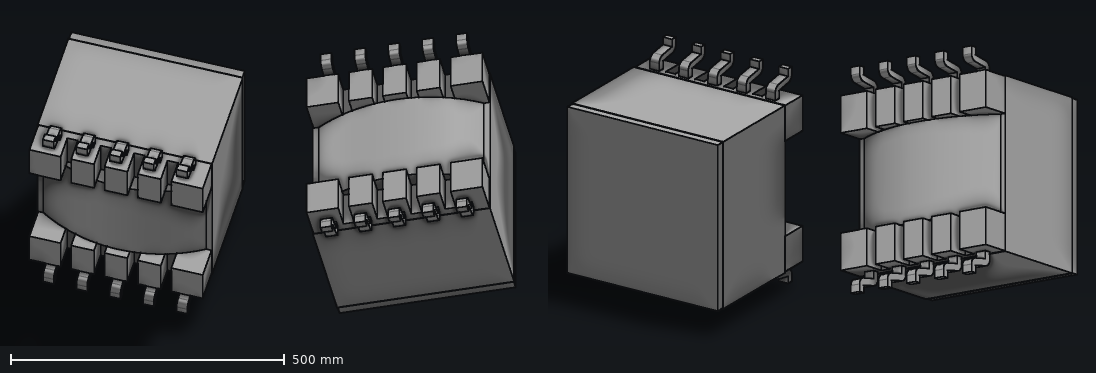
import cadquery as cq
import math

OVERALL_HEIGHT = 425.5

WRAP_SIZE = 331.5
WRAP_DEPTH = 206.5
BOBBIN_SIZE = 329.5
PLATE_DEPTH = 16.5

RAIL_DEPTH = 59.0
RAIL_HEIGHT = 70.5
PIN_COUNT = 5
PIN_PITCH = 63.5
SLOT_WIDTH = 20.0
SLOT_FLOOR = 14.5

WINDING_WIDTH = 309.0
WINDING_DEPTH = 44.3

PIN_WIDTH = 20.5
PIN_THICKNESS = 13.0
PIN_SETBACK = 10.0
PIN_REACH = 65.5
PIN_RISE = 15.5
PIN_SLOPE = math.radians(9)

bobbin_top = BOBBIN_SIZE / 2
pin_tip = OVERALL_HEIGHT / 2
rail_inner = bobbin_top - RAIL_HEIGHT


def box(x_size, y_min, y_max, z_min, z_max, x_centre=0):
    """Box centred on x_centre and spanning the given Y and Z ranges."""
    corner = (x_centre - x_size / 2, y_min, z_min)
    return cq.Workplane("XY").box(x_size, y_max - y_min, z_max - z_min, centered=False).translate(corner)


def make_body():
    half = WRAP_SIZE / 2
    wrap = box(WRAP_SIZE, 0, WRAP_DEPTH, -half, half)
    plate = box(BOBBIN_SIZE, WRAP_DEPTH, WRAP_DEPTH + PLATE_DEPTH, -bobbin_top, bobbin_top)
    return wrap.union(plate)


def make_winding():
    half = WINDING_WIDTH / 2
    return (
        cq.Workplane("XY", origin=(0, 0, -rail_inner))
        .moveTo(-half, 0)
        .threePointArc((0, -WINDING_DEPTH), (half, 0))
        .close()
        .extrude(2 * rail_inner)
    )


def make_rail():
    """Upper rail with a slot midway between each pair of pins."""
    rail = box(BOBBIN_SIZE, -RAIL_DEPTH, 0, rail_inner, bobbin_top)
    for index in range(PIN_COUNT - 1):
        x = (index - (PIN_COUNT - 2) / 2) * PIN_PITCH
        rail = rail.cut(box(SLOT_WIDTH, -RAIL_DEPTH, -SLOT_FLOOR, rail_inner, bobbin_top, x))
    return rail


def make_pin(x):
    """Upper pin: rises from the rail, slopes forward, then stands up to its tip.

    Both bends are sharp inside and rounded outside about the inner corner.
    """
    thickness = PIN_THICKNESS
    back = -PIN_SETBACK
    front = -PIN_REACH
    low_y = back - thickness
    low_z = bobbin_top + PIN_RISE
    high_y = front + thickness
    run = low_y - high_y
    high_z = low_z + (thickness + run * math.sin(PIN_SLOPE)) / math.cos(PIN_SLOPE)

    mid_angle = (math.pi / 2 - PIN_SLOPE) / 2
    mid_y = thickness * math.cos(mid_angle)
    mid_z = thickness * math.sin(mid_angle)
    across_y = thickness * math.sin(PIN_SLOPE)
    across_z = thickness * math.cos(PIN_SLOPE)

    return (
        cq.Workplane("YZ", origin=(x - PIN_WIDTH / 2, 0, 0))
        .moveTo(back, bobbin_top)
        .lineTo(back, low_z)
        .threePointArc((low_y + mid_y, low_z + mid_z), (low_y + across_y, low_z + across_z))
        .lineTo(high_y, high_z)
        .lineTo(high_y, pin_tip)
        .lineTo(front, pin_tip)
        .lineTo(front, high_z)
        .threePointArc((high_y - mid_y, high_z - mid_z), (high_y - across_y, high_z - across_z))
        .lineTo(low_y, low_z)
        .lineTo(low_y, bobbin_top)
        .close()
        .extrude(PIN_WIDTH)
    )


def make_terminal_row():
    row = make_rail()
    for index in range(PIN_COUNT):
        row = row.union(make_pin((index - (PIN_COUNT - 1) / 2) * PIN_PITCH))
    return row


upper_row = make_terminal_row()
lower_row = upper_row.mirror("XY")
result = make_body().union(make_winding()).union(upper_row).union(lower_row)